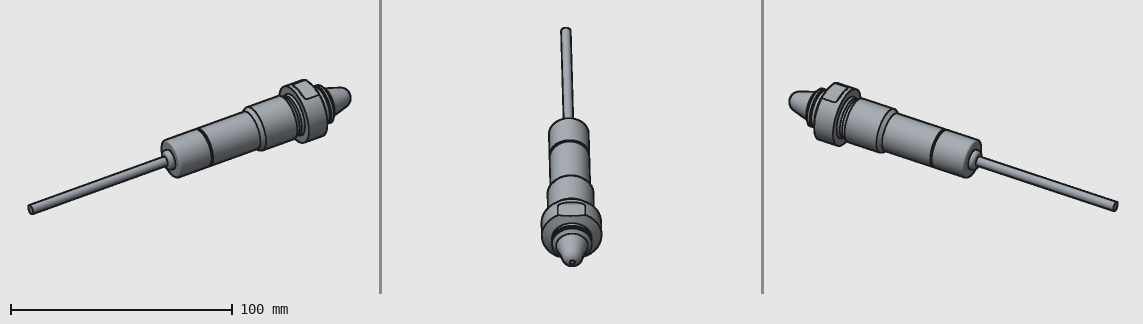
import cadquery as cq

total_length = 165.8

tip_diameter = 2.3
dome_diameter = 9.3
dome_at = 3.5
dome_bulge = (3.3, 1.2)
nose_diameter = 12.0
nose_at = 8.1
flare_diameter = 14.5
flare_at = 11.6
flare_bulge = (6.5, 10.0)

sleeve_diameter = 18.0
sleeve_at = 13.1
sleeve_end_at = 16.9
collar_diameter = 27.0
collar_at = 19.0
collar_end_at = 28.7
neck_start_diameter = 19.9
neck_diameter = 18.7
neck_at = 30.0
neck_end_at = 31.2

grip_diameter = 20.9
grip_at = 33.0
grip_end_at = 49.2
barrel_diameter = 18.0
barrel_at = 51.4
barrel_end_at = 93.0
barrel_end_fillet = 1.0
gland_diameter = 9.3
gland_face_diameter = 6.1
gland_end_at = 95.6
cable_diameter = 4.5

groove_width = 0.7
groove_depth = 0.3
sleeve_groove_at = 14.5
barrel_groove_at = 76.0

flat_distance = 24.0
flat_end_at = 26.5
flat_end_fillet = 1.0


def point(diameter, station):
    """Profile point with X as radius and Y along the probe."""
    return (diameter / 2, -station)


def bulge_point(bulge):
    radius, station = bulge
    return (radius, -station)


def revolve(profile):
    return profile.close().revolve(360, (0, 0, 0), (0, 1, 0))


def cylinder(diameter, start_at, end_at):
    return (
        cq.Workplane("XZ", origin=(0, -start_at, 0))
        .circle(diameter / 2)
        .extrude(end_at - start_at)
    )


def make_head():
    """Nose, sleeve, collar, neck, grip and barrel as one turned body."""
    profile = (
        cq.Workplane("XY")
        .lineTo(*point(tip_diameter, 0))
        .threePointArc(bulge_point(dome_bulge), point(dome_diameter, dome_at))
        .lineTo(*point(nose_diameter, nose_at))
        .threePointArc(bulge_point(flare_bulge), point(flare_diameter, flare_at))
        .lineTo(*point(sleeve_diameter, sleeve_at))
        .lineTo(*point(sleeve_diameter, sleeve_end_at))
        .lineTo(*point(collar_diameter, collar_at))
        .lineTo(*point(collar_diameter, collar_end_at))
        .lineTo(*point(neck_start_diameter, collar_end_at))
        .lineTo(*point(neck_diameter, neck_at))
        .lineTo(*point(neck_diameter, neck_end_at))
        .lineTo(*point(grip_diameter, grip_at))
        .lineTo(*point(grip_diameter, grip_end_at))
        .lineTo(*point(barrel_diameter, barrel_at))
        .lineTo(*point(barrel_diameter, barrel_end_at))
        .lineTo(*point(0, barrel_end_at))
    )
    return revolve(profile).faces("<Y").edges().fillet(barrel_end_fillet)


def make_gland():
    """Strain relief whose rear edge is rounded down to its end face."""
    rounding = (gland_diameter - gland_face_diameter) / 2
    gland = cylinder(gland_diameter, barrel_end_at, gland_end_at)
    return gland.faces("<Y").edges().fillet(rounding)


def ring_groove(start_at):
    end_at = start_at + groove_width
    outer = cylinder(sleeve_diameter, start_at, end_at)
    floor = cylinder(sleeve_diameter - 2 * groove_depth, start_at, end_at)
    return outer.cut(floor)


def wrench_flats():
    """Material removed above and below the two flats of the collar."""
    length = flat_end_at - sleeve_end_at
    middle = -(flat_end_at + sleeve_end_at) / 2
    block = cq.Workplane("XY").box(collar_diameter, length, collar_diameter)
    slab = cq.Workplane("XY").box(collar_diameter, length, flat_distance)
    inner_end_edges = cq.selectors.BoxSelector(
        (-collar_diameter, -length, -flat_distance / 2 - flat_end_fillet),
        (collar_diameter, -length / 2 + flat_end_fillet, flat_distance / 2 + flat_end_fillet),
    )
    cutter = block.cut(slab).edges("|X").edges(inner_end_edges).fillet(flat_end_fillet)
    return cutter.translate((0, middle, 0))


result = make_head().cut(wrench_flats())
for groove_at in (sleeve_groove_at, barrel_groove_at):
    result = result.cut(ring_groove(groove_at))
result = result.union(make_gland())
result = result.union(cylinder(cable_diameter, barrel_end_at, total_length))